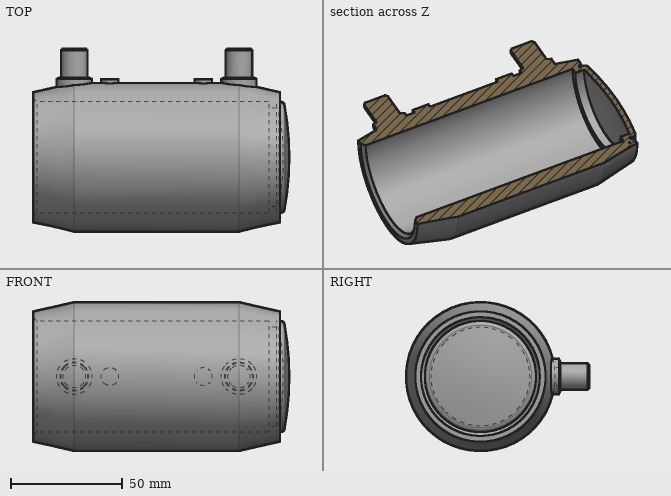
import cadquery as cq

sleeve_length = 111.0
sleeve_radius = 33.5
end_radius = 29.3
taper_length = 18.5
bore_radius = 25.0
lead_in_radius = 26.7
lead_in_depth = lead_in_radius - bore_radius

overall_length = 115.2
plug_wall = 2.8
plug_rim_depth = 5.0
plug_shoulder = 2.1
plug_round = 2.0
plug_shoulder_x = sleeve_length + plug_shoulder
dome_edge_radius = bore_radius - plug_round
hollow_radius = bore_radius - plug_wall
plug_rim_x = sleeve_length - plug_rim_depth
dome_rise = overall_length - plug_shoulder_x

terminal_top = 49.0
pin_radius = 6.05
pin_chamfer = 1.0
collar_radius = 8.0
collar_edge_height = 35.2
collar_top = 35.9
collar_flat_radius = 6.5
terminal_positions = (taper_length, sleeve_length - taper_length)

indicator_radius = 4.0
indicator_top = 35.2
indicator_offset = 21.0
sleeve_middle = sleeve_length / 2
indicator_positions = (sleeve_middle - indicator_offset, sleeve_middle + indicator_offset)

wall_middle = (bore_radius + sleeve_radius) / 2


def revolve_about_x(profile):
    return profile.close().revolve(360, (0, 0, 0), (1, 0, 0))


def make_sleeve():
    profile = (
        cq.Workplane("XY")
        .moveTo(0, lead_in_radius)
        .lineTo(0, end_radius)
        .lineTo(taper_length, sleeve_radius)
        .lineTo(sleeve_length - taper_length, sleeve_radius)
        .lineTo(sleeve_length, end_radius)
        .lineTo(sleeve_length, lead_in_radius)
        .lineTo(sleeve_length - lead_in_depth, bore_radius)
        .lineTo(lead_in_depth, bore_radius)
    )
    return revolve_about_x(profile)


def dome_radius_for(edge_radius, rise):
    """Sphere radius of a dome with the given edge radius and rise."""
    return (edge_radius**2 + rise**2) / (2 * rise)


def make_plug():
    outer_sphere = dome_radius_for(dome_edge_radius, dome_rise)
    inner_sphere = outer_sphere - plug_wall
    sphere_center_x = overall_length - outer_sphere
    hollow_edge_x = sphere_center_x + (inner_sphere**2 - hollow_radius**2) ** 0.5
    hollow_apex_x = overall_length - plug_wall
    profile = (
        cq.Workplane("XY")
        .moveTo(plug_rim_x, hollow_radius)
        .lineTo(plug_rim_x, bore_radius)
        .lineTo(plug_shoulder_x - plug_round, bore_radius)
        .radiusArc((plug_shoulder_x, dome_edge_radius), plug_round)
        .radiusArc((overall_length, 0), outer_sphere)
        .lineTo(hollow_apex_x, 0)
        .radiusArc((hollow_edge_x, hollow_radius), -inner_sphere)
    )
    return revolve_about_x(profile)


def make_post(x, radius, top):
    """Round post along +Y from inside the tube wall up to the given height."""
    base = cq.Workplane("XZ", origin=(x, wall_middle, 0))
    return base.circle(radius).extrude(wall_middle - top)


def make_terminal(x):
    """Pin and collar as one turned shape about a line along +Y."""
    profile = (
        cq.Workplane("XY", origin=(x, 0, 0))
        .moveTo(0, wall_middle)
        .lineTo(collar_radius, wall_middle)
        .lineTo(collar_radius, collar_edge_height)
        .lineTo(collar_flat_radius, collar_top)
        .lineTo(pin_radius, collar_top)
        .lineTo(pin_radius, terminal_top - pin_chamfer)
        .lineTo(pin_radius - pin_chamfer, terminal_top)
        .lineTo(0, terminal_top)
    )
    return profile.close().revolve(360, (0, 0, 0), (0, 1, 0))


result = make_sleeve().union(make_plug())
for terminal_x in terminal_positions:
    result = result.union(make_terminal(terminal_x))
for indicator_x in indicator_positions:
    result = result.union(make_post(indicator_x, indicator_radius, indicator_top))